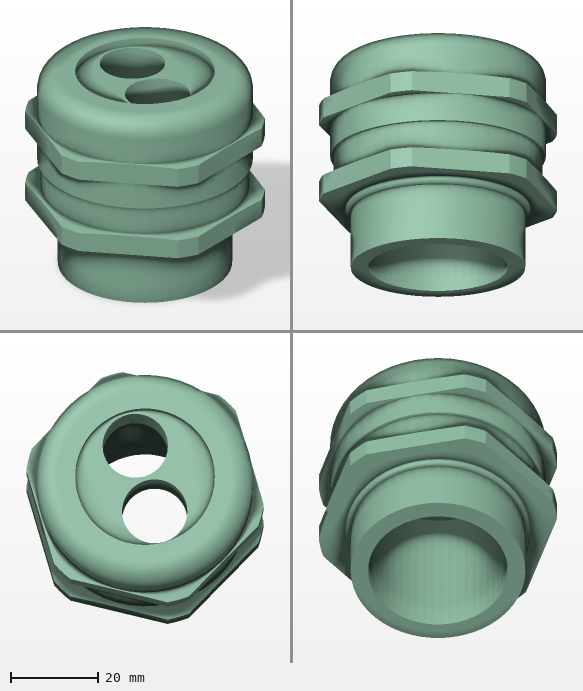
import cadquery as cq
import math

total_height = 49.5
spigot_top = 13.1
seal_top = 15.0
body_top = 27.0
lower_hex_base = seal_top
upper_hex_base = 33.55

spigot_radius = 20.0
seal_radius = 21.25
body_radius = 24.0
cap_radius = 24.75
cap_rounding = 4.5

hex_across_flats = 50.0
hex_corner_radius = 27.5
hex_height = 5.0
hex_edge_drop = 0.4

recess_radius = 16.0
recess_depth = 2.0
cable_hole_radius = 7.5
cable_hole_depth = 10.0
cable_hole_spacing = 16.0
bore_radius = recess_radius
bore_top = total_height - recess_depth - cable_hole_depth


def cylinder(radius, bottom, top):
    return cq.Workplane("XY").workplane(offset=bottom).circle(radius).extrude(top - bottom)


def hex_collar(base, cone_start_radius):
    """Hexagon within a turned blank: round at the corners, with a top that slopes down outwards."""
    blank = (
        cq.Workplane("XZ")
        .lineTo(0, hex_height)
        .lineTo(cone_start_radius, hex_height)
        .lineTo(hex_corner_radius, hex_height - hex_edge_drop)
        .lineTo(hex_corner_radius, 0)
        .close()
        .revolve(360, (0, 0, 0), (0, 1, 0))
    )
    sharp_corner_diameter = hex_across_flats / math.cos(math.pi / 6)
    hexagon = cq.Workplane("XY").polygon(6, sharp_corner_diameter).extrude(hex_height)
    return blank.intersect(hexagon).translate((0, 0, base))


def seal_ring():
    """Ring between spigot and lower collar with a half-round rim."""
    rim_radius = (seal_top - spigot_top) / 2
    rim_center = seal_radius - rim_radius
    return (
        cq.Workplane("XZ")
        .moveTo(0, spigot_top)
        .lineTo(rim_center, spigot_top)
        .threePointArc((seal_radius, spigot_top + rim_radius), (rim_center, seal_top))
        .lineTo(0, seal_top)
        .close()
        .revolve(360, (0, 0, 0), (0, 1, 0))
    )


def cable_holes():
    return (
        cq.Workplane("XY")
        .pushPoints([(-cable_hole_spacing / 2, 0), (cable_hole_spacing / 2, 0)])
        .circle(cable_hole_radius)
        .extrude(total_height)
    )


spigot = cylinder(spigot_radius, 0, spigot_top)
body = cylinder(body_radius, seal_top, body_top)
cap = cylinder(cap_radius, body_top, total_height).faces(">Z").edges().fillet(cap_rounding)

result = spigot.union(seal_ring()).union(body).union(cap)
result = result.union(hex_collar(lower_hex_base, body_radius))
result = result.union(hex_collar(upper_hex_base, cap_radius))

recess = cylinder(recess_radius, total_height - recess_depth, total_height)
bore = cylinder(bore_radius, 0, bore_top)
result = result.cut(recess).cut(bore).cut(cable_holes())